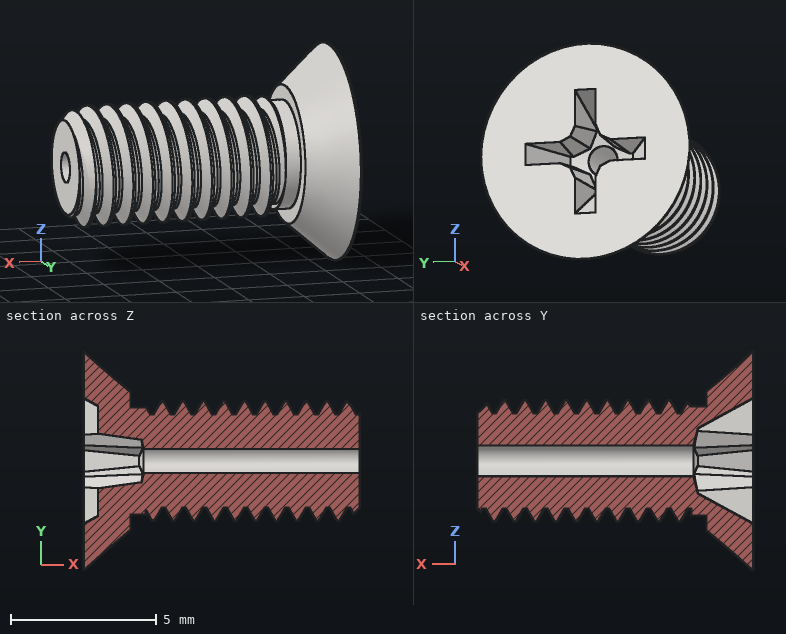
import cadquery as cq
import math

length = 9.53

head_diameter = 7.54
head_radius = head_diameter / 2
head_base_radius = 2.41
rim_width = 0.04
head_height = 1.62
neck_radius = 1.89
neck_end = 2.15

crest_radius = 2.1
root_radius = 1.65
tip_radius = 1.64
first_crest = 2.735
last_crest = 8.41
turns_between = 8
pitch = (last_crest - first_crest) / turns_between
crest_width = 0.09
flank_angle = 30.0
core_overlap = 0.06
trim_margin = 0.1

recess_depth = 1.91
floor_cone_depth = 0.16
floor_radius = 1.13
mouth_size = dict(arm_reach=2.16, arm_half_width=0.37, bend_reach=0.91, corner=0.54)
floor_size = dict(arm_reach=1.12, arm_half_width=0.18, bend_reach=1.03, corner=0.46)
bore_radius = 0.52


def head_and_neck():
    """Countersunk head and plain neck, as one turned body."""
    profile = [
        (0, 0), (0, head_radius), (rim_width, head_radius),
        (head_height, head_base_radius), (head_height, neck_radius),
        (neck_end, neck_radius), (neck_end, 0),
    ]
    return cq.Workplane("XY").polyline(profile).close().revolve(360, (0, 0), (1, 0))


def threaded_shank():
    """Core with a right-hand ridge, trimmed to the threaded length with 45 degree ends."""
    inner_radius = root_radius - core_overlap
    half_crest = crest_width / 2
    half_base = half_crest + (crest_radius - inner_radius) * math.tan(math.radians(flank_angle))

    turns_to_start = math.ceil((last_crest - neck_end) / pitch) + 1
    turns_to_end = math.ceil((length - last_crest) / pitch) + 1
    start = last_crest - turns_to_start * pitch
    run = (turns_to_start + turns_to_end) * pitch

    helix = cq.Wire.makeHelix(
        pitch, run, inner_radius, cq.Vector(start, 0, 0), cq.Vector(1, 0, 0)
    )
    radial = (helix.startPoint() - cq.Vector(start, 0, 0)).normalized()
    profile_plane = cq.Plane(
        (start, 0, 0), radial.toTuple(), radial.cross(cq.Vector(1, 0, 0)).toTuple()
    )
    ridge = (
        cq.Workplane(profile_plane)
        .polyline([
            (inner_radius, -half_base), (crest_radius, -half_crest),
            (crest_radius, half_crest), (inner_radius, half_base),
        ])
        .close()
        .sweep(cq.Workplane(helix), isFrenet=True)
    )
    start_angle = math.degrees(math.atan2(radial.z, radial.y))
    ridge = ridge.rotate((0, 0, 0), (1, 0, 0), -start_angle)

    trim_radius = crest_radius + trim_margin
    lead_in = trim_radius - neck_radius
    tip_chamfer = trim_radius - tip_radius
    envelope = (
        cq.Workplane("XY")
        .polyline([
            (neck_end, 0), (neck_end, neck_radius), (neck_end + lead_in, trim_radius),
            (length - tip_chamfer, trim_radius), (length, tip_radius), (length, 0),
        ])
        .close()
        .revolve(360, (0, 0), (1, 0))
    )
    core = cq.Workplane("YZ", origin=(start, 0, 0)).circle(root_radius).extrude(run)
    return core.union(ridge).intersect(envelope)


def cross_outline(arm_reach, arm_half_width, bend_reach, corner):
    """Four-armed outline whose inner corners are bevelled in two steps."""
    arm = [
        (bend_reach, -arm_half_width), (arm_reach, -arm_half_width),
        (arm_reach, arm_half_width), (bend_reach, arm_half_width), (corner, corner),
    ]
    points = []
    for _ in range(4):
        points.extend(arm)
        arm = [(-v, u) for u, v in arm]
    return points


def recess():
    """Tapered cross with a shallow conical floor and a bore along the axis."""
    mouth = cross_outline(**mouth_size)
    floor = cross_outline(**floor_size)
    cross = (
        cq.Workplane("YZ").polyline(mouth).close()
        .workplane(offset=recess_depth).polyline(floor).close()
        .loft(ruled=True)
    )
    floor_prism = (
        cq.Workplane("YZ", origin=(recess_depth, 0, 0))
        .polyline(floor).close().extrude(floor_cone_depth)
    )
    cone_end = recess_depth + floor_cone_depth
    floor_cone = (
        cq.Workplane("XY")
        .polyline([
            (recess_depth, 0), (recess_depth, floor_radius),
            (cone_end, bore_radius), (cone_end, 0),
        ])
        .close()
        .revolve(360, (0, 0), (1, 0))
    )
    bore = cq.Workplane("YZ").circle(bore_radius).extrude(length)
    return cross.union(floor_prism.intersect(floor_cone)).union(bore)


result = head_and_neck().union(threaded_shank()).cut(recess())